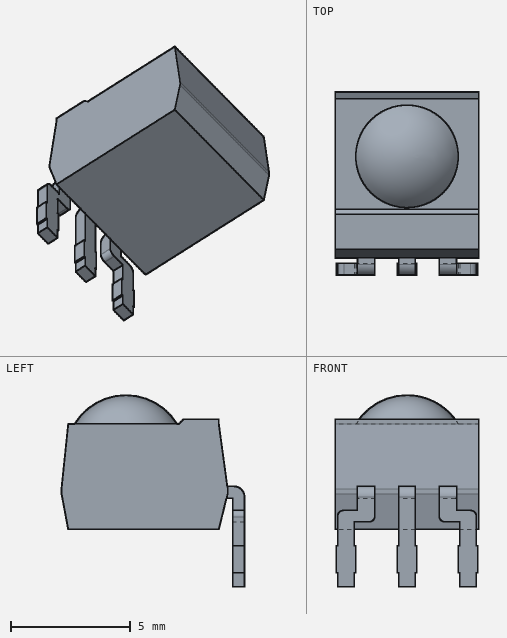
import cadquery as cq
import math


body_width = 6.0
body_front = 0.7
body_back = 7.64
front_taper = 0.37
back_taper = 0.28
body_bottom = 2.4
body_top = 6.8
parting_z = 3.99
parting_height = 0.2

ledge_height = 0.2
ledge_depth = 1.47

lens_y = 4.95
lens_radius = 2.5
lens_top = 8.0

lead_thickness = 0.5
lead_width = 0.7
lead_pitch = 2.54
lead_top = 4.2
bend_radius = 0.45
lead_embed = 0.48
root_center = 1.7
root_width = 0.74
jog_top = 3.19
jog_bottom = 2.71
jog_radius = 0.26

stop_width = 0.83
stop_bottom = 0.58
stop_top = 1.72


def make_body():
    """Side profile in the YZ plane, tapering away from the parting band."""
    front_edge = body_front + front_taper
    back_edge = body_back - back_taper
    parting_low = parting_z - parting_height / 2
    parting_high = parting_z + parting_height / 2
    ledge_top = body_top + ledge_height
    ledge_back = front_edge + ledge_depth
    profile = [
        (front_edge, body_bottom),
        (body_front, parting_low),
        (body_front, parting_high),
        (front_edge, body_top),
        (front_edge, ledge_top),
        (ledge_back, ledge_top),
        (ledge_back + ledge_height, body_top),
        (back_edge, body_top),
        (body_back, parting_high),
        (body_back, parting_low),
        (back_edge, body_bottom),
    ]
    return cq.Workplane("YZ").polyline(profile).close().extrude(body_width / 2, both=True)


def make_lens():
    """Spherical cap revolved about a vertical axis, with a plug sunk into the body."""
    center_z = lens_top - lens_radius
    rim_radius = math.sqrt(lens_radius**2 - (body_top - center_z) ** 2)
    half_angle = math.asin(rim_radius / lens_radius) / 2
    arc_middle = (
        lens_radius * math.sin(half_angle),
        center_z + lens_radius * math.cos(half_angle),
    )
    return (
        cq.Workplane("XZ", origin=(0, lens_y, 0))
        .moveTo(0, center_z)
        .lineTo(rim_radius, center_z)
        .lineTo(rim_radius, body_top)
        .threePointArc(arc_middle, (0, lens_top))
        .close()
        .revolve(360, (0, 0, 0), (0, 1, 0))
    )


def front_block(center_x, width, bottom, top, depth=lead_thickness):
    """Rectangular block running back from the front face of the leads."""
    return (
        cq.Workplane("XY", origin=(center_x, depth / 2, bottom))
        .box(width, depth, top - bottom, centered=(True, True, False))
    )


def make_root(center_x, width):
    """Horizontal stub leaving the body, rounded where it turns down."""
    root_depth = body_front + lead_embed
    root = front_block(center_x, width, lead_top - lead_thickness, lead_top, root_depth)
    return root.edges("<Y and >Z").fillet(bend_radius)


def make_stop(center_x):
    return front_block(center_x, stop_width, stop_bottom, stop_top)


def make_middle_lead():
    shank = front_block(0, lead_width, 0, lead_top - lead_thickness)
    return make_root(0, lead_width).union(shank).union(make_stop(0))


def make_side_lead():
    """Lead on the +X side, jogged outward below its root."""
    root_inner = root_center - root_width / 2
    root_outer = root_center + root_width / 2
    shank_inner = lead_pitch - lead_width / 2
    shank_outer = lead_pitch + lead_width / 2
    bend_bottom = lead_top - lead_thickness
    outline = [
        (root_inner, bend_bottom),
        (root_outer, bend_bottom),
        (root_outer, jog_top),
        (shank_outer, jog_top),
        (shank_outer, 0),
        (shank_inner, 0),
        (shank_inner, jog_bottom),
        (root_inner, jog_bottom),
    ]
    shank = cq.Workplane("XZ").polyline(outline).close().extrude(-lead_thickness)
    for corner_x, corner_z in ((shank_outer, jog_top), (root_inner, jog_bottom)):
        nearest = cq.selectors.NearestToPointSelector((corner_x, lead_thickness / 2, corner_z))
        shank = shank.edges("|Y").edges(nearest).fillet(jog_radius)
    return make_root(root_center, root_width).union(shank).union(make_stop(lead_pitch))


side_lead = make_side_lead()
result = (
    make_body()
    .union(make_lens())
    .union(make_middle_lead())
    .union(side_lead)
    .union(side_lead.mirror("YZ"))
)